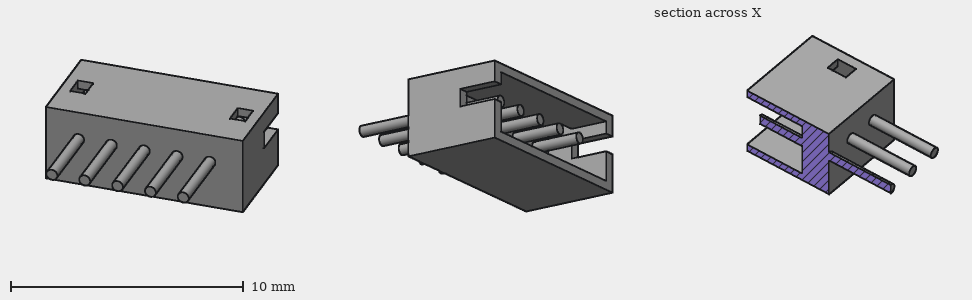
import cadquery as cq


pin_count = 5
pitch = 1.5
end_margin = 1.5
housing_length = (pin_count - 1) * pitch + 2 * end_margin
housing_depth = 4.5
housing_height = 3.5

end_wall = 0.5
roof_thickness = 0.4
floor_thickness = roof_thickness
back_wall = 1.5

pin_diameter = 0.5
pin_drop = 1.3
pin_tail = 3.4
pin_tip_recess = 0.7

slot_depth = 1.8
slot_drop = 0.95
slot_height = 0.8

window_length = 0.7
window_depth = 1.0


def box(length, depth, height, x_center, y_start, z_start):
    """Box centred on x_center, growing towards +Y and +Z from its start corner."""
    return (
        cq.Workplane("XY")
        .box(length, depth, height, centered=(True, False, False))
        .translate((x_center, y_start, z_start))
    )


def make_cavity():
    length = housing_length - 2 * end_wall
    depth = housing_depth - back_wall
    height = housing_height - roof_thickness - floor_thickness
    return box(length, depth, height, 0, back_wall, floor_thickness)


def make_end_slots():
    """One cutter through both end walls."""
    y_start = housing_depth - slot_depth
    z_start = housing_height - slot_drop - slot_height
    return box(housing_length, slot_depth, slot_height, 0, y_start, z_start)


def make_window(side):
    """Roof window at the -X end (side = -1) or the +X end (side = 1)."""
    x_center = side * (housing_length / 2 - end_wall - window_length / 2)
    y_start = housing_depth - slot_depth - window_depth
    z_start = housing_height - roof_thickness
    return box(window_length, window_depth, roof_thickness, x_center, y_start, z_start)


def make_pin(index):
    x = (index - (pin_count - 1) / 2) * pitch
    z = housing_height - pin_drop
    length = pin_tail + housing_depth - pin_tip_recess
    start = cq.Vector(x, -pin_tail, z)
    return cq.Solid.makeCylinder(pin_diameter / 2, length, start, cq.Vector(0, 1, 0))


result = box(housing_length, housing_depth, housing_height, 0, 0, 0)
result = result.cut(make_cavity()).cut(make_end_slots())

for side in (-1, 1):
    result = result.cut(make_window(side))

for index in range(pin_count):
    result = result.union(cq.Workplane(obj=make_pin(index)))